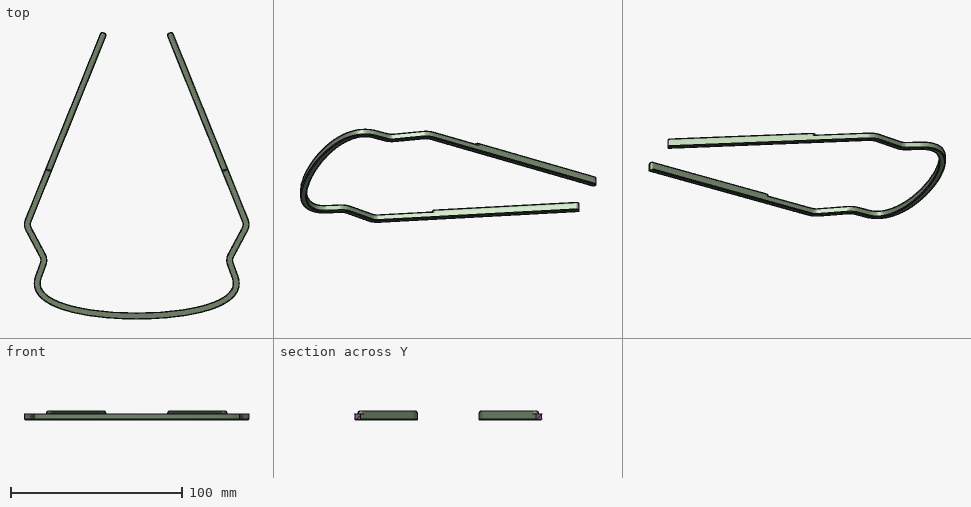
import cadquery as cq
import math

overall_length = 167.2
overall_width = 131.13
bar_width = 3.5
half_width = bar_width / 2
ridge_length = 86.5
end_fillet = 1.25
base_chamfer = 0.5

bend_radius = 6.0
outer_corner_y = 54.9
inner_corner_y = 34.7
neck_end_y = 24.5
arm_angle = math.radians(22)
shoulder_angle = math.radians(28)
neck_angle = math.radians(20)
bow_side_pull = 16.9
bow_middle_pull = 31.5


def along(point, angle, length):
    """Point at a distance from another, in a direction measured from +Y towards +X."""
    return (point[0] + length * math.sin(angle), point[1] + length * math.cos(angle))


arm_heading = math.pi + arm_angle
shoulder_heading = math.pi - shoulder_angle
neck_heading = math.pi + neck_angle

outer_half_turn = (arm_angle + shoulder_angle) / 2
outer_tilt = (shoulder_angle - arm_angle) / 2
bend_centre_x = -overall_width / 2 + bend_radius + half_width
outer_corner_x = bend_centre_x - bend_radius / math.cos(outer_half_turn) * math.cos(outer_tilt)
outer_corner = (outer_corner_x, outer_corner_y)

shoulder_length = (outer_corner_y - inner_corner_y) / math.cos(shoulder_angle)
inner_corner = along(outer_corner, shoulder_heading, shoulder_length)
neck_length = (inner_corner_y - neck_end_y) / math.cos(neck_angle)
neck_end = along(inner_corner, neck_heading, neck_length)

corner_shift = (half_width - end_fillet) * math.sin(arm_angle)
corner_rise = corner_shift + end_fillet * (1 - math.cos(arm_angle))
arm_length = (overall_length - corner_rise - outer_corner_y) / math.cos(arm_angle)
arm_end = along(outer_corner, arm_angle, arm_length)

end_plane = cq.Plane(
    origin=(*arm_end, 0),
    xDir=(math.cos(arm_angle), -math.sin(arm_angle), 0),
    normal=(math.sin(arm_heading), math.cos(arm_heading), 0),
)


def add_bend(path, corner, heading_in, heading_out):
    """Extend a path to a corner and round it."""
    half_turn = (heading_out - heading_in) / 2
    tangent_length = bend_radius * math.tan(abs(half_turn))
    cut_back = bend_radius / math.cos(half_turn) - bend_radius
    inward = (heading_in + heading_out) / 2 + math.copysign(math.pi / 2, half_turn)
    start = along(corner, heading_in, -tangent_length)
    middle = along(corner, inward, cut_back)
    end = along(corner, heading_out, tangent_length)
    return path.lineTo(*start).threePointArc(middle, end)


def make_centre_line():
    """Path of the left half: arm, outer bend, shoulder, inner bend, neck and half of the bow."""
    path = cq.Workplane("XY").moveTo(*arm_end)
    path = add_bend(path, outer_corner, arm_heading, shoulder_heading)
    path = add_bend(path, inner_corner, shoulder_heading, neck_heading)
    path = path.lineTo(*neck_end)
    bow_middle = (0, half_width)
    side_handle = along(neck_end, neck_heading, bow_side_pull)
    middle_handle = (-bow_middle_pull, half_width)
    return path.bezier([side_handle, middle_handle, bow_middle], includeCurrent=True)


def make_bar():
    """Square bar with chamfered lower edges, swept along the centre line, standing on z = 0."""
    base_half = half_width - base_chamfer
    profile = (
        cq.Workplane(end_plane)
        .moveTo(-half_width, bar_width)
        .lineTo(half_width, bar_width)
        .lineTo(half_width, base_chamfer)
        .lineTo(base_half, 0)
        .lineTo(-base_half, 0)
        .lineTo(-half_width, base_chamfer)
        .close()
    )
    return profile.sweep(make_centre_line())


def make_ridge():
    """Half-round ridge on the arm, rounded off at the end nearer the outer bend."""
    ridge = (
        cq.Workplane(end_plane)
        .moveTo(-half_width, bar_width)
        .threePointArc((0, bar_width + half_width), (half_width, bar_width))
        .close()
        .extrude(ridge_length)
    )
    return ridge.faces("<Y").edges("%CIRCLE").fillet(end_fillet)


def make_half():
    """Left half of the handle, up to the middle of the bow."""
    half = make_bar().union(make_ridge())
    return half.faces(">Y").edges("|Z or %CIRCLE").fillet(end_fillet)


left_half = make_half()
result = left_half.union(left_half.mirror("YZ"))